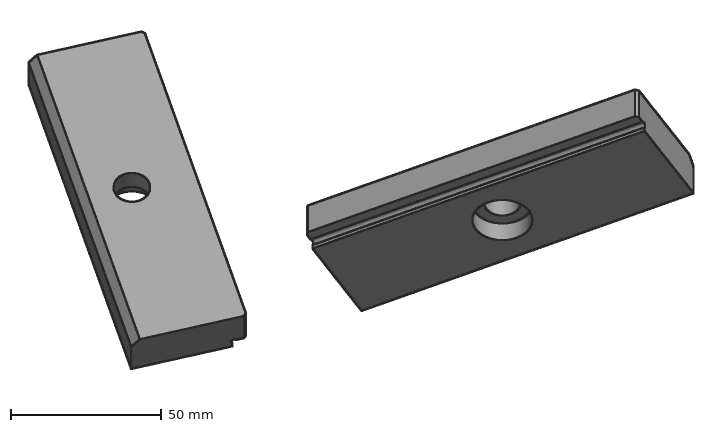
import cadquery as cq

length = 125
width = 40
height = 15

front_bevel = 3.0
corner_bevel = 1.0

step_depth = 5
step_height = 3.0
relief_radius = 1.0
relief_offset = 0.5

hole_diameter = 12.1
counterbore_diameter = 20
counterbore_depth = height / 2
hole_from_front = 18.0


def make_block():
    block = cq.Workplane("XY").box(length, width, height, centered=(True, False, False))
    block = block.edges("|X and >Z and <Y").chamfer(front_bevel)
    return block.edges("|Z and >Y").chamfer(corner_bevel)


def make_step_cutter():
    step_wall = width - step_depth
    step = cq.Workplane("XY").box(length, step_depth, step_height, centered=(True, False, False))
    step = step.translate((0, step_wall, 0))
    relief = (
        cq.Workplane("YZ")
        .center(step_wall + relief_offset, step_height - relief_offset)
        .circle(relief_radius)
        .extrude(length / 2, both=True)
    )
    return step.union(relief)


def make_hole_cutter():
    axis = cq.Workplane("XY").center(0, hole_from_front)
    hole = axis.circle(hole_diameter / 2).extrude(height)
    counterbore = axis.circle(counterbore_diameter / 2).extrude(counterbore_depth)
    return hole.union(counterbore)


result = make_block().cut(make_step_cutter()).cut(make_hole_cutter())